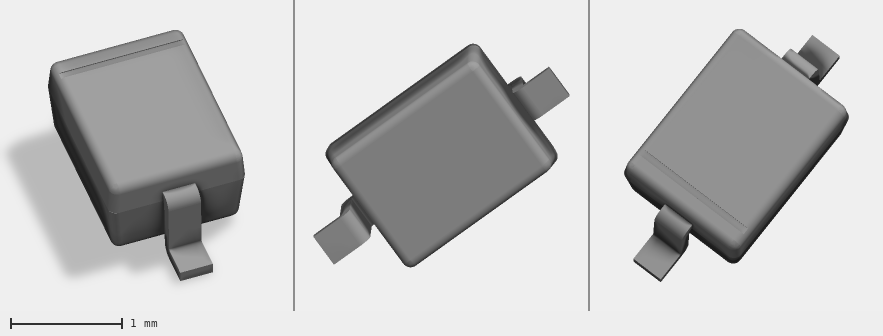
import cadquery as cq
import math

BODY_LENGTH = 1.695
BODY_WIDTH = 1.30
BODY_BOTTOM_Z = 0.05
PARTING_Z = 0.60
BODY_TOP_Z = 0.90
UPPER_DRAFT = 4.0
LOWER_DRAFT = 5.0
BODY_FILLET = 0.08

GROOVE_CENTER_X = -0.625
GROOVE_WIDTH = 0.065
GROOVE_DEPTH = 0.01

LEAD_SPAN = 2.60
LEAD_WIDTH = 0.31
LEAD_THICKNESS = 0.112
LEAD_TOP_Z = PARTING_Z + LEAD_THICKNESS
KNEE_X = -0.994
SHANK_LEAN = 2.0
INNER_BEND_RADIUS = 0.015
OUTER_BEND_RADIUS = 0.107
LEAD_EMBED_DEPTH = 0.10


def body_half(height, draft):
    """Drafted block growing from the parting plane; a negative height grows downward."""
    return (
        cq.Workplane("XY")
        .workplane(offset=PARTING_Z)
        .rect(BODY_LENGTH, BODY_WIDTH)
        .extrude(height, taper=draft)
    )


def moulded_body():
    """Two drafted halves meeting at the parting plane, with every outer edge rounded."""
    upper = body_half(BODY_TOP_Z - PARTING_Z, UPPER_DRAFT)
    lower = body_half(BODY_BOTTOM_Z - PARTING_Z, LOWER_DRAFT)
    body = upper.union(lower)
    body = body.edges("not #Z").fillet(BODY_FILLET)
    body = body.faces(">Z").edges().fillet(BODY_FILLET)
    return body.faces("<Z").edges().fillet(BODY_FILLET)


def polarity_groove():
    """Shallow cutter centred on the top plane, so only its lower half removes material."""
    return cq.Workplane("XY").box(GROOVE_WIDTH, BODY_WIDTH, 2 * GROOVE_DEPTH).translate(
        (GROOVE_CENTER_X, 0, BODY_TOP_Z)
    )


def left_lead():
    """Lead on the -X side: flat foot, slightly leaning shank, flat arm entering the body."""
    lean = math.radians(SHANK_LEAN)
    tip_x = -LEAD_SPAN / 2
    root_x = -BODY_LENGTH / 2 + LEAD_EMBED_DEPTH
    shank_thickness_x = LEAD_THICKNESS / math.cos(lean)

    def outer_face_x(z):
        return KNEE_X - (PARTING_Z - z) * math.tan(lean)

    def inner_face_x(z):
        return outer_face_x(z) + shank_thickness_x

    lead = (
        cq.Workplane("XZ")
        .moveTo(tip_x, 0)
        .lineTo(inner_face_x(0), 0)
        .lineTo(inner_face_x(PARTING_Z), PARTING_Z)
        .lineTo(root_x, PARTING_Z)
        .lineTo(root_x, LEAD_TOP_Z)
        .lineTo(outer_face_x(LEAD_TOP_Z), LEAD_TOP_Z)
        .lineTo(outer_face_x(LEAD_THICKNESS), LEAD_THICKNESS)
        .lineTo(tip_x, LEAD_THICKNESS)
        .close()
        .extrude(LEAD_WIDTH / 2, both=True)
    )

    def bend_edge(x, z):
        return cq.selectors.NearestToPointSelector((x, 0, z))

    heel = bend_edge(inner_face_x(0), 0)
    knee = bend_edge(outer_face_x(LEAD_TOP_Z), LEAD_TOP_Z)
    heel_inside = bend_edge(outer_face_x(LEAD_THICKNESS), LEAD_THICKNESS)
    knee_inside = bend_edge(inner_face_x(PARTING_Z), PARTING_Z)
    lead = lead.edges(heel + knee).fillet(OUTER_BEND_RADIUS)
    return lead.edges(heel_inside + knee_inside).fillet(INNER_BEND_RADIUS)


body = moulded_body().cut(polarity_groove())
lead = left_lead()
result = body.union(lead).union(lead.mirror("YZ"))